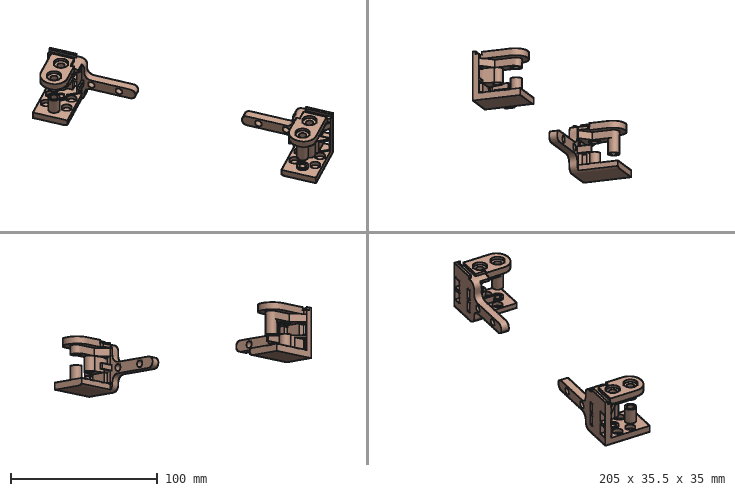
import cadquery as cq
import math


pair_span = 205.0
base_width = 25.0
base_depth = 35.0
base_height = 5.0
center_x = base_width / 2

back_thickness = 4.5
plate_width = 27.0
plate_height = 33.0
plate_corner_radius = 5.0
arm_thickness = 6.0
arm_width = 8.0
arm_center_z = 15.5
arm_length = 64.0
arm_neck_radius = 5.0
arm_hole_diameter = 4.8
arm_hole_xs = (32.0, 52.0)

window_xs = ((1.0, 7.0), (18.0, 20.8))
window_zs = ((6.0, 14.0), (16.0, 24.0))

ridge_length = 19.5
ridge_thickness = 2.0
total_height = 35.0

top_plate_min_x = 2.75
top_plate_max_x = 22.0
top_plate_front = 35.5
top_plate_back = 5.5
top_plate_bottom = 30.0
top_plate_corner_radius = 9.0
shoulder_depth = 13.0

rear_post_depth = 13.0
front_post_depth = 27.0
post_diameter = 8.0
beam_bottom = 24.5
low_gap = (6.0, 14.0)
high_gap = (16.0, 24.0)
web_half_width = center_x - window_xs[0][1]
low_web_top = 15.5
counterbore_diameter = 10.0
counterbore_depth = 2.0
clearance_diameter = 5.2
thread_diameter = 4.9

pocket_diameter = 7.0
pocket_floor = 2.0
pocket_offset_x = 7.5
pocket_depths = (12.5, 22.5)

tab_thickness = 1.5
tab_front = 16.0
tab_top = 18.0
left_tab_bottom = 14.0
right_tab_bottom = 13.0

cap_thickness = 0.2


def block(x_range, depth_range, z_range):
    """Box between two X values, two distances in front of the back face and two heights."""
    width = x_range[1] - x_range[0]
    depth = depth_range[1] - depth_range[0]
    height = z_range[1] - z_range[0]
    corner = (x_range[0], -depth_range[1], z_range[0])
    return cq.Workplane("XY").box(width, depth, height, centered=False).translate(corner)


def rod(diameter, x, depth, z_range):
    """Upright cylinder at a given distance in front of the back face."""
    height = z_range[1] - z_range[0]
    return cq.Workplane("XY", origin=(x, -depth, z_range[0])).circle(diameter / 2).extrude(height)


def prism(points, z_range):
    """Upright prism from (X, depth) points."""
    outline = [(x, -depth) for x, depth in points]
    height = z_range[1] - z_range[0]
    return cq.Workplane("XY", origin=(0, 0, z_range[0])).polyline(outline).close().extrude(height)


def rounded_plate(thickness):
    """Back plate outline with its two inner corners rounded."""
    plate = block((0, plate_width), (0, thickness), (0, plate_height))
    return plate.edges("|Y and >X").fillet(plate_corner_radius)


def arm():
    """Round-ended arm, flared where it leaves the back plate."""
    low_z = arm_center_z - arm_width / 2
    high_z = arm_center_z + arm_width / 2
    r = arm_neck_radius
    tip_x = arm_length - arm_width / 2
    bend = r * (1 - math.sqrt(0.5))
    bar = (
        cq.Workplane("XZ")
        .moveTo(base_width, low_z - r)
        .lineTo(plate_width, low_z - r)
        .threePointArc((plate_width + bend, low_z - bend), (plate_width + r, low_z))
        .lineTo(tip_x, low_z)
        .threePointArc((arm_length, arm_center_z), (tip_x, high_z))
        .lineTo(plate_width + r, high_z)
        .threePointArc((plate_width + bend, high_z + bend), (plate_width, high_z + r))
        .lineTo(base_width, high_z + r)
        .close()
        .extrude(arm_thickness)
    )
    holes = (
        cq.Workplane("XZ")
        .pushPoints([(x, arm_center_z) for x in arm_hole_xs])
        .circle(arm_hole_diameter / 2)
        .extrude(arm_thickness)
    )
    return bar.cut(holes)


def base():
    """Base slab; its lower inner edge follows the rounded back plate."""
    slab = block((0, base_width), (0, base_depth), (0, base_height))
    return slab.intersect(rounded_plate(base_depth))


def back():
    """Back plate with the thicker margin carrying the arm, and the ridge on top."""
    plate = rounded_plate(back_thickness)
    margin = rounded_plate(arm_thickness).intersect(
        block((base_width, plate_width), (0, arm_thickness), (0, plate_height))
    )
    ridge = block((0, ridge_length), (0, ridge_thickness), (plate_height, total_height))
    return plate.union(margin).union(ridge).union(arm())


def top_plate():
    """Round-nosed top plate, with a lower shoulder in the rear inner corner."""
    plate = block(
        (top_plate_min_x, top_plate_max_x),
        (back_thickness, top_plate_front),
        (top_plate_bottom, total_height),
    )
    plate = plate.edges("|Z and <Y").fillet(top_plate_corner_radius)
    above = (plate_height, total_height)
    plate = plate.cut(block((0, base_width), (0, top_plate_back), above))
    plate = plate.cut(block((ridge_length, base_width), (0, shoulder_depth), above))
    shoulder = rounded_plate(shoulder_depth).intersect(
        block((ridge_length, base_width), (0, shoulder_depth), (top_plate_bottom, plate_height))
    )
    return plate.union(shoulder)


def beam():
    """Beam under the top plate: flared at the back plate and round at the front post."""
    r = post_diameter / 2
    points = [
        (0, back_thickness),
        (base_width, back_thickness),
        (center_x + r, rear_post_depth),
        (center_x + r, front_post_depth),
        (center_x - r, front_post_depth),
        (center_x - r, rear_post_depth),
    ]
    span = (beam_bottom, top_plate_bottom)
    return prism(points, span).union(rod(post_diameter, center_x, front_post_depth, span))


def low_web(top):
    """Triangular web on the base, from the full width of the back plate to the rear post's axis."""
    points = [(0, back_thickness), (base_width, back_thickness), (center_x, rear_post_depth)]
    return prism(points, (base_height, top))


def high_web(bottom):
    """Web under the beam whose sides run from the windows to touch the rear post tangentially."""
    reach = rear_post_depth - back_thickness
    r = post_diameter / 2
    distance = math.hypot(web_half_width, reach)
    angle = math.atan2(reach, web_half_width) + math.asin(r / distance)
    touch_x = r * math.sin(angle)
    touch_depth = rear_post_depth - r * math.cos(angle)
    points = [
        (center_x - web_half_width, back_thickness),
        (center_x + web_half_width, back_thickness),
        (center_x + touch_x, touch_depth),
        (center_x - touch_x, touch_depth),
    ]
    return prism(points, (bottom, beam_bottom))


def bracket(rear_gap, front_gap, web, tab_bottom):
    """Left-hand bracket whose posts leave the given gaps at the rear and front holes."""
    body = base().union(back()).union(top_plate()).union(beam()).union(web)
    tab_xs = (base_width, base_width + tab_thickness)
    body = body.union(block(tab_xs, (back_thickness, tab_front), (tab_bottom, tab_top)))
    posts = ((rear_post_depth, rear_gap), (front_post_depth, front_gap))
    for depth, gap in posts:
        body = body.union(rod(post_diameter, center_x, depth, (base_height, gap[0])))
        body = body.union(rod(post_diameter, center_x, depth, (gap[1], beam_bottom)))

    seat = (total_height - counterbore_depth, total_height)
    for depth, gap in posts:
        body = body.cut(rod(clearance_diameter, center_x, depth, (gap[1], total_height)))
        body = body.cut(rod(counterbore_diameter, center_x, depth, seat))
        body = body.cut(rod(thread_diameter, center_x, depth, (base_height, gap[0])))

    for side in (-1, 1):
        for depth in pocket_depths:
            x = center_x + side * pocket_offset_x
            body = body.cut(rod(pocket_diameter, x, depth, (pocket_floor, base_height)))

    for x_range in window_xs:
        for z_range in window_zs:
            body = body.cut(block(x_range, (0, shoulder_depth), z_range))
    return body


def left_bracket():
    """The rear post hangs from the beam and the front post stands on the base."""
    web = low_web(low_gap[0]).union(high_web(low_gap[1]))
    return bracket(low_gap, high_gap, web, left_tab_bottom)


def right_bracket():
    """Mirrored bracket: the rear post stands, the front post hangs, and a cap ends the ridge step."""
    body = bracket(high_gap, low_gap, low_web(low_web_top), right_tab_bottom)
    cap = block((0, cap_thickness), (0, back_thickness), (plate_height, total_height))
    return body.union(cap).mirror("YZ").translate((pair_span, 0, 0))


left = left_bracket()
right = right_bracket()
result = cq.Compound.makeCompound([left.val(), right.val()])